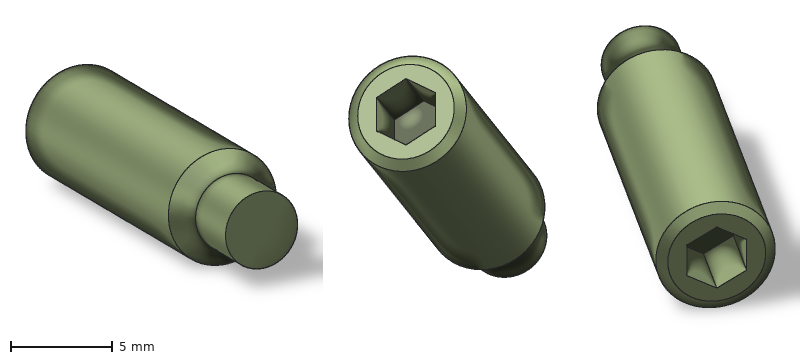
import cadquery as cq
import math

total_length = 20.0
body_radius = 3.0
point_radius = 2.0
point_length = 3.25

end_face_radius = 2.45
end_chamfer_angle = 30.0
end_chamfer_length = (body_radius - end_face_radius) * math.tan(math.radians(end_chamfer_angle))

shoulder_length = body_radius - point_radius
point_start = total_length - point_length
shoulder_start = point_start - shoulder_length

socket_across_flats = 3.0
socket_across_corners = socket_across_flats / math.cos(math.radians(30))
socket_depth = 3.5


def make_screw_body():
    """Revolve the half profile about the X axis."""
    return (
        cq.Workplane("XY")
        .moveTo(0, 0)
        .lineTo(0, end_face_radius)
        .lineTo(end_chamfer_length, body_radius)
        .lineTo(shoulder_start, body_radius)
        .lineTo(point_start, point_radius)
        .lineTo(total_length, point_radius)
        .lineTo(total_length, 0)
        .close()
        .revolve(360, (0, 0, 0), (1, 0, 0))
    )


def make_hex_socket():
    """Flat-bottomed hexagonal prism, turned to put its corners on Z."""
    return (
        cq.Workplane("YZ")
        .polygon(6, socket_across_corners)
        .extrude(socket_depth)
        .rotate((0, 0, 0), (1, 0, 0), 90)
    )


result = make_screw_body().cut(make_hex_socket())